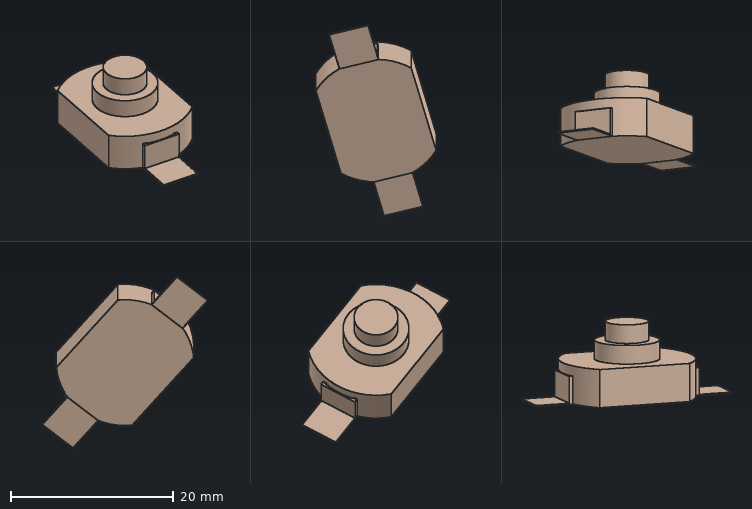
import cadquery as cq

housing_dia = 17.0
housing_width = 12.2
housing_height = 4.8

total_height = 9.5
collar_dia = 8.1
button_dia = 5.4
collar_height = (total_height - housing_height) / 2
button_height = total_height - housing_height - collar_height

terminal_span = 26.0
terminal_leg_span = 17.2
terminal_width = 5.0
terminal_leg_height = 3.5
terminal_foot_thickness = 0.15
terminal_leg_thickness = 0.5


def make_housing():
    """Cylinder trimmed to a flat at each Y side."""
    round_block = cq.Workplane("XY").circle(housing_dia / 2).extrude(housing_height)
    trim = cq.Workplane("XY").box(
        housing_dia, housing_width, housing_height, centered=(True, True, False)
    )
    return round_block.intersect(trim)


def make_disc(diameter, height, base_z):
    """Upright disc centred on the Z axis."""
    return cq.Workplane("XY").workplane(offset=base_z).circle(diameter / 2).extrude(height)


def make_terminal(side):
    """L-shaped terminal at the end given by side (-1 or +1)."""
    tip_x = side * terminal_span / 2
    leg_outer_x = side * terminal_leg_span / 2
    leg_inner_x = leg_outer_x - side * terminal_leg_thickness
    return (
        cq.Workplane("XZ")
        .moveTo(leg_inner_x, 0)
        .lineTo(tip_x, 0)
        .lineTo(tip_x, terminal_foot_thickness)
        .lineTo(leg_outer_x, terminal_foot_thickness)
        .lineTo(leg_outer_x, terminal_leg_height)
        .lineTo(leg_inner_x, terminal_leg_height)
        .close()
        .extrude(terminal_width / 2, both=True)
    )


terminals = [make_terminal(side) for side in (-1, 1)]

collar = make_disc(collar_dia, collar_height, housing_height)
button = make_disc(button_dia, button_height, housing_height + collar_height)

housing = make_housing()
for terminal in terminals:
    housing = housing.cut(terminal)

result = cq.Compound.makeCompound(
    [housing.solids().val(), collar.val(), button.val()] + [terminal.val() for terminal in terminals]
)